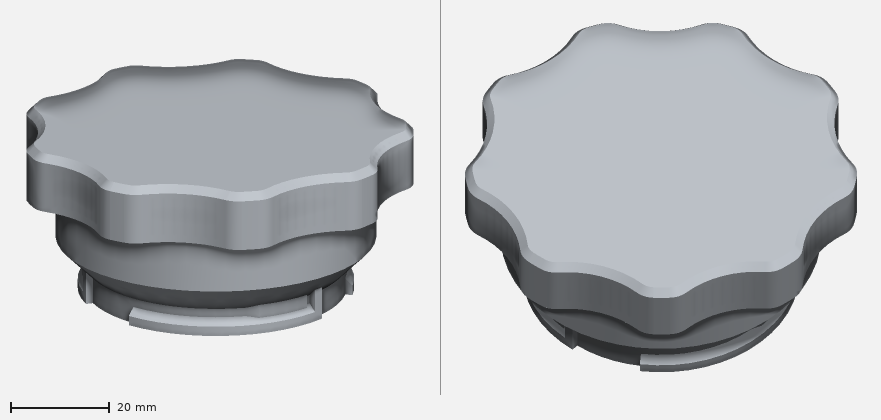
import cadquery as cq
import math

full_turn = 360.0

total_height = 35.0
knob_thickness = 12.0
knob_bottom = total_height - knob_thickness

lobe_count = 9
knob_radius = 40.0
valley_radius = 36.0
scallop_radius = 20.0
lobe_fillet = 5.0
knob_chamfer = 1.5
first_valley_angle = 90.0

body_radius = 32.5
neck_radius = 26.5
cone_top = 11.3
cone_bottom = cone_top - (body_radius - neck_radius)

tab_count = 3
tab_radius = 28.0
lip_edge_height = 2.0
lip_top = lip_edge_height + tab_radius - neck_radius
bump_radius = 27.0
tab_embed = 3.0
root_radius = neck_radius - tab_embed

lip_start = 141.0
ramp_start = 193.0
bump_start = 198.8
bump_end = 223.2
stop_start = 225.8
stop_end = 230.1


def polar(radius, angle):
    """Point in the XY plane at a radius and an angle in degrees."""
    return (radius * math.cos(math.radians(angle)), radius * math.sin(math.radians(angle)))


def revolve_section(points, start, end):
    """Turn a closed (radius, height) section about Z from one angle to another."""
    section = cq.Workplane("XZ").polyline(points).close()
    swept = section.revolve(end - start, (0, 0), (0, 1))
    return swept.rotate((0, 0, 0), (0, 0, 1), start)


def make_knob():
    knob = cq.Workplane("XY").workplane(offset=knob_bottom).circle(knob_radius).extrude(knob_thickness)
    scallops = (
        cq.Workplane("XY")
        .workplane(offset=knob_bottom)
        .polarArray(valley_radius + scallop_radius, first_valley_angle, full_turn, lobe_count)
        .circle(scallop_radius)
        .extrude(knob_thickness)
    )
    knob = knob.cut(scallops).edges("|Z").fillet(lobe_fillet)
    return knob.faces(">Z").edges().chamfer(knob_chamfer)


def make_body():
    section = [
        (0, 0),
        (neck_radius, 0),
        (neck_radius, cone_bottom),
        (body_radius, cone_top),
        (body_radius, knob_bottom),
        (0, knob_bottom),
    ]
    return revolve_section(section, 0, full_turn)


def make_lip():
    """Low rim whose top slopes up to the neck at 45 degrees."""
    section = [
        (root_radius, 0),
        (tab_radius, 0),
        (tab_radius, lip_edge_height),
        (neck_radius, lip_top),
        (root_radius, lip_top),
    ]
    return revolve_section(section, lip_start, stop_end)


def make_bump():
    """Raised band on the neck, with a flat ramp leading onto it."""
    bump_middle = (bump_start + bump_end) / 2
    band = (
        cq.Workplane("XY")
        .moveTo(*polar(root_radius, ramp_start))
        .lineTo(*polar(neck_radius, ramp_start))
        .lineTo(*polar(bump_radius, bump_start))
        .threePointArc(polar(bump_radius, bump_middle), polar(bump_radius, bump_end))
        .lineTo(*polar(root_radius, bump_end))
        .close()
    )
    return band.extrude(cone_top)


def make_stop():
    """Radial block running from the bottom face up into the cone."""
    section = [
        (root_radius, 0),
        (tab_radius, 0),
        (tab_radius, cone_top),
        (root_radius, cone_top),
    ]
    return revolve_section(section, stop_start, stop_end)


def make_tab():
    return make_lip().union(make_bump()).union(make_stop())


result = make_body().union(make_knob())
tab = make_tab()
for index in range(tab_count):
    result = result.union(tab.rotate((0, 0, 0), (0, 0, 1), index * full_turn / tab_count))